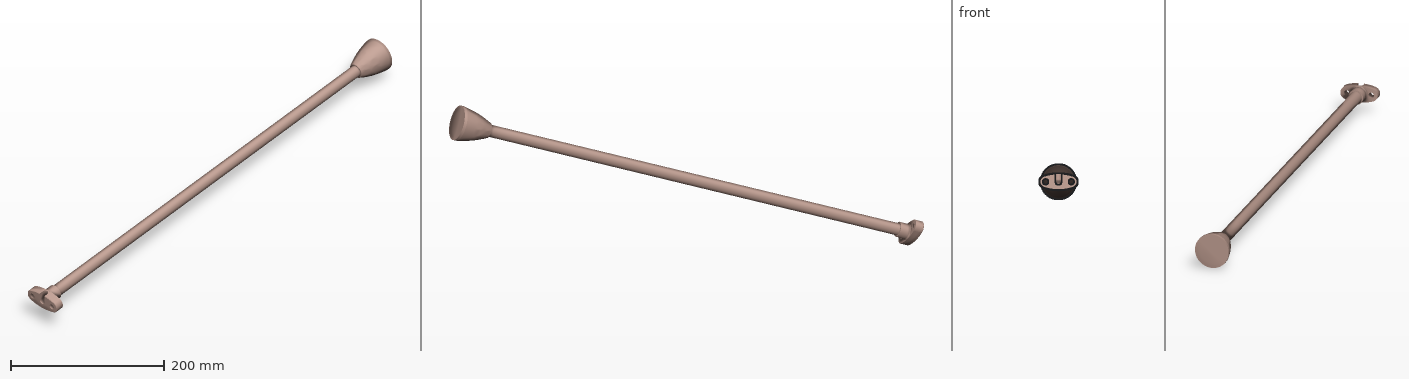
import cadquery as cq
import math

overall_length = 669.0

flange_length = 51.0
flange_height = 23.0
flange_end_radius = 9.0
flange_thickness = 12.0
screw_hole_diameter = 7.5
groove_width = 8.0
groove_depth = 10.0
face_chamfer = 1.0

rod_radius = 8.0
sleeve_radius = 10.0
sleeve_length = 14.0
sleeve_foot_radius = flange_height / 2
sleeve_foot_height = 1.5

disc_diameter = 46.0
disc_thickness = 4.0
bell_length = 42.0
bell_neck_radius = 10.0
bell_bulge = 1.75

flange_half_height = flange_height / 2
disc_radius = disc_diameter / 2
disc_start = overall_length - disc_thickness
bell_start = disc_start - bell_length

screw_hole_offset = flange_length / 2 - flange_end_radius


def cylinder(radius, start, end, x=0.0):
    """Cylinder parallel to Y between two y positions."""
    disc = cq.Workplane("XZ", origin=(x, start, 0)).circle(radius)
    return disc.extrude(start - end)


def revolved(outline):
    """Turn a closed (radius, y) outline about the Y axis."""
    return outline.close().revolve(360, (0, 0, 0), (0, 1, 0))


def make_flange():
    """Lens-shaped plate with two screw holes and a round-ended groove open to the top."""
    side_radius = (screw_hole_offset**2 + flange_half_height**2 - flange_end_radius**2) / (
        2 * (flange_half_height - flange_end_radius)
    )
    side_centre = side_radius - flange_half_height
    tangent_ratio = flange_end_radius / (side_radius - flange_end_radius)
    tangent_x = screw_hole_offset * (1 + tangent_ratio)
    tangent_z = side_centre * tangent_ratio

    plate = (
        cq.Workplane("XZ")
        .moveTo(-tangent_x, tangent_z)
        .threePointArc((0, flange_half_height), (tangent_x, tangent_z))
        .threePointArc((flange_length / 2, 0), (tangent_x, -tangent_z))
        .threePointArc((0, -flange_half_height), (-tangent_x, -tangent_z))
        .threePointArc((-flange_length / 2, 0), (-tangent_x, tangent_z))
        .close()
        .extrude(-flange_thickness)
        .faces("<Y")
        .chamfer(face_chamfer)
    )
    for side in (-1, 1):
        plate = plate.cut(
            cylinder(screw_hole_diameter / 2, 0, flange_thickness, side * screw_hole_offset)
        )
    return plate.cut(groove_cutter())


def groove_cutter():
    """U-shaped channel from the flange centre up, with a spherical lower end opening to the face."""
    groove_radius = groove_width / 2
    axis_depth = groove_depth - groove_radius
    channel = (
        cq.Workplane("XY")
        .moveTo(-groove_radius, 0)
        .lineTo(-groove_radius, axis_depth)
        .threePointArc((0, groove_depth), (groove_radius, axis_depth))
        .lineTo(groove_radius, 0)
        .close()
        .extrude(flange_half_height)
    )
    ball = cq.Workplane("XY", origin=(0, axis_depth, 0)).sphere(groove_radius)
    return channel.union(ball).union(cylinder(groove_radius, 0, axis_depth))


def make_sleeve():
    """Tube around the rod, flared at the foot that stands on the flange."""
    sleeve_end = flange_thickness + sleeve_length
    outline = (
        cq.Workplane("XY")
        .moveTo(rod_radius, flange_thickness)
        .lineTo(sleeve_foot_radius, flange_thickness)
        .lineTo(sleeve_radius, flange_thickness + sleeve_foot_height)
        .lineTo(sleeve_radius, sleeve_end)
        .lineTo(rod_radius, sleeve_end)
    )
    return revolved(outline)


def make_rod():
    """Round bar from the flange to the neck of the bell."""
    return cylinder(rod_radius, flange_thickness, bell_start)


def make_bell():
    """Cover widening from the rod to the disc along an outward-bulging arc."""
    chord = math.hypot(disc_radius - bell_neck_radius, bell_length)
    middle_radius = (disc_radius + bell_neck_radius) / 2 + bell_bulge * bell_length / chord
    middle_y = bell_start + bell_length / 2 - bell_bulge * (disc_radius - bell_neck_radius) / chord
    outline = (
        cq.Workplane("XY")
        .moveTo(0, bell_start)
        .lineTo(bell_neck_radius, bell_start)
        .threePointArc((middle_radius, middle_y), (disc_radius, disc_start))
        .lineTo(0, disc_start)
    )
    return revolved(outline)


def make_disc():
    """Flat round base behind the bell."""
    return cylinder(disc_radius, disc_start, overall_length)


flange = make_flange()
sleeve = make_sleeve()
rod = make_rod()
bell = make_bell()
disc = make_disc()

result = cq.Compound.makeCompound([flange.val(), sleeve.val(), rod.val(), bell.val(), disc.val()])